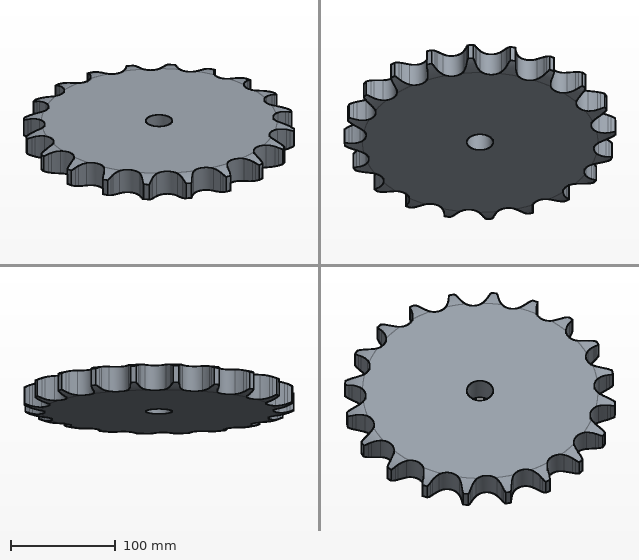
import cadquery as cq
import math

tooth_count = 20
pitch_diameter = 243.5
roller_diameter = 25.4
overall_width = 256.2
thickness = 24.0
bore_diameter = 25.0
side_relief_radius = 38.0
flat_face_radius = 112.2

seat_radius = 0.505 * roller_diameter
working_center_offset = 0.8 * roller_diameter
topping_center_offset = 1.4 * roller_diameter
seat_end_angle = 35 + 60 / tooth_count
working_arc_angle = 18 - 56 / tooth_count
topping_angle = 17 - 64 / tooth_count
working_radius = seat_radius + working_center_offset
flank_angle = seat_end_angle - working_arc_angle
flank_length = (
    topping_center_offset * math.sin(math.radians(topping_angle))
    - working_center_offset * math.sin(math.radians(working_arc_angle))
)
topping_radius = (
    working_center_offset * math.cos(math.radians(working_arc_angle))
    + topping_center_offset * math.cos(math.radians(topping_angle))
    - working_radius
)


def polar(center, radius, angle):
    """Point at a distance and an angle (degrees) from a center."""
    a = math.radians(angle)
    return (center[0] + radius * math.cos(a), center[1] + radius * math.sin(a))


seat_center = (0, pitch_diameter / 2)
working_center = polar(seat_center, working_center_offset, 180 - seat_end_angle)
root = polar(seat_center, seat_radius, -90)
seat_end = polar(seat_center, seat_radius, -seat_end_angle)
working_middle = polar(working_center, working_radius, -(seat_end_angle + flank_angle) / 2)
working_end = polar(working_center, working_radius, -flank_angle)
flank_end = polar(working_end, flank_length, 90 - flank_angle)

topping_center = polar(flank_end, topping_radius, -flank_angle)
flank_end_angle = 180 - flank_angle
tip_rise = overall_width / 2 - topping_center[1]
tip_angle = 180 - math.degrees(math.asin(tip_rise / topping_radius))
topping_middle = polar(topping_center, topping_radius, (flank_end_angle + tip_angle) / 2)
tip_corner = polar(topping_center, topping_radius, tip_angle)
tip_radius = math.hypot(*tip_corner)


def turned(point, angle):
    """Point turned about the wheel axis, angle in degrees."""
    c = math.cos(math.radians(angle))
    s = math.sin(math.radians(angle))
    return (c * point[0] - s * point[1], s * point[0] + c * point[1])


def mirrored(point):
    return (-point[0], point[1])


def toothed_plate():
    """Full-thickness plate with all the tooth gaps, gap by gap clockwise."""
    tooth_pitch = 360 / tooth_count
    outline = cq.Workplane("XY").workplane(offset=-thickness / 2).moveTo(*mirrored(tip_corner))
    for i in range(tooth_count):
        gap = -i * tooth_pitch

        def left(point):
            return turned(mirrored(point), gap)

        def right(point):
            return turned(point, gap)

        outline = (
            outline.threePointArc(left(topping_middle), left(flank_end))
            .lineTo(*left(working_end))
            .threePointArc(left(working_middle), left(seat_end))
            .threePointArc(right(root), right(seat_end))
            .threePointArc(right(working_middle), right(working_end))
            .lineTo(*right(flank_end))
            .threePointArc(right(topping_middle), right(tip_corner))
        )
        tip_middle = turned((0, tip_radius), gap - tooth_pitch / 2)
        next_tip_corner = turned(mirrored(tip_corner), gap - tooth_pitch)
        outline = outline.threePointArc(tip_middle, next_tip_corner)
    return outline.close().extrude(thickness)


def rounded_blank():
    """Turned disc whose rim is rounded on both sides towards the tooth tips."""
    half = thickness / 2
    rim_width = tip_radius - flat_face_radius
    relief_angle = 90 - math.degrees(math.asin(rim_width / side_relief_radius))
    relief_center = (flat_face_radius, half - side_relief_radius)
    middle = polar(relief_center, side_relief_radius, (90 + relief_angle) / 2)
    end = polar(relief_center, side_relief_radius, relief_angle)
    return (
        cq.Workplane("XZ")
        .moveTo(0, -half)
        .lineTo(flat_face_radius, -half)
        .threePointArc((middle[0], -middle[1]), (end[0], -end[1]))
        .lineTo(*end)
        .threePointArc(middle, (flat_face_radius, half))
        .lineTo(0, half)
        .close()
        .revolve(360, (0, 0, 0), (0, 1, 0))
    )


bore = cq.Workplane("XY").circle(bore_diameter / 2).extrude(thickness, both=True)

result = toothed_plate().intersect(rounded_blank()).cut(bore)